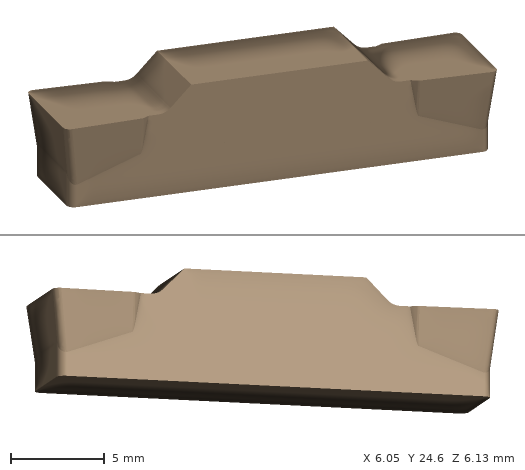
import cadquery as cq
import math

length = 24.62
edge_width = 6.08
height = 6.13
land_height = 4.68
body_width = 5.25
end_setback = 0.35
body_corner_radius = 0.45

crest_length = 10.05
ramp_angle = 45.0
ramp_root_radius = 0.98

head_corner_radius = 0.37
front_relief_angle = 7.0
side_relief_angle = 6.5
side_back_angle = 2.3
head_side_length = 4.48
shoulder_angle = 31.0
shoulder_radius = 0.25

half_length = length / 2
land_side_taper = math.tan(math.radians(side_back_angle))


def make_body():
    """Profile with a raised centre, ramps and rounded ends, extruded across X."""
    body_end = half_length - end_setback
    crest_end = crest_length / 2
    ramp_run = (height - land_height) / math.tan(math.radians(ramp_angle))
    ramp_root = crest_end + ramp_run
    profile = [
        (-body_end, 0),
        (body_end, 0),
        (body_end, land_height),
        (ramp_root, land_height),
        (crest_end, height),
        (-crest_end, height),
        (-ramp_root, land_height),
        (-body_end, land_height),
    ]
    body = cq.Workplane("YZ").polyline(profile).close().extrude(body_width / 2, both=True)
    body = body.edges("|Z").fillet(body_corner_radius)
    for side in (-1, 1):
        root_point = (0, side * ramp_root, land_height)
        body = body.edges(cq.selectors.NearestToPointSelector(root_point)).fillet(ramp_root_radius)
    return body


def make_head():
    """Cutting head at the -Y end, relieved below its edges and inset into the body."""
    side_half_width = edge_width / 2 - head_side_length * land_side_taper
    shoulder_length = (side_half_width - body_width / 2) / math.tan(math.radians(shoulder_angle))
    head_depth = head_side_length + shoulder_length
    front_relief = land_height * math.tan(math.radians(front_relief_angle))
    side_relief = land_height * math.tan(math.radians(side_relief_angle))

    shoulder_y = head_side_length - half_length
    back_y = head_depth - half_length

    def section(front_inset, side_inset):
        """Plan outline with its sides moved in along X and its front moved in along Y."""
        front_y = front_inset - half_length
        front_x = edge_width / 2 - side_inset - front_inset * land_side_taper
        shoulder_x = side_half_width - side_inset
        back_x = body_width / 2 - side_inset
        return [
            (-front_x, front_y),
            (front_x, front_y),
            (shoulder_x, shoulder_y),
            (back_x, back_y),
            (-back_x, back_y),
            (-shoulder_x, shoulder_y),
        ]

    head = (
        cq.Workplane("XY")
        .polyline(section(front_relief, side_relief)).close()
        .workplane(offset=land_height)
        .polyline(section(0, 0)).close()
        .loft(ruled=True)
    )
    head = head.faces("<Y").edges("not #Z").fillet(head_corner_radius)
    for side in (-1, 1):
        shoulder_point = (side * (side_half_width - side_relief / 2), shoulder_y, land_height / 2)
        shoulder_edge = cq.selectors.NearestToPointSelector(shoulder_point)
        head = head.edges(shoulder_edge).fillet(shoulder_radius)
    return head


head = make_head()
result = make_body().union(head).union(head.mirror("XZ"))